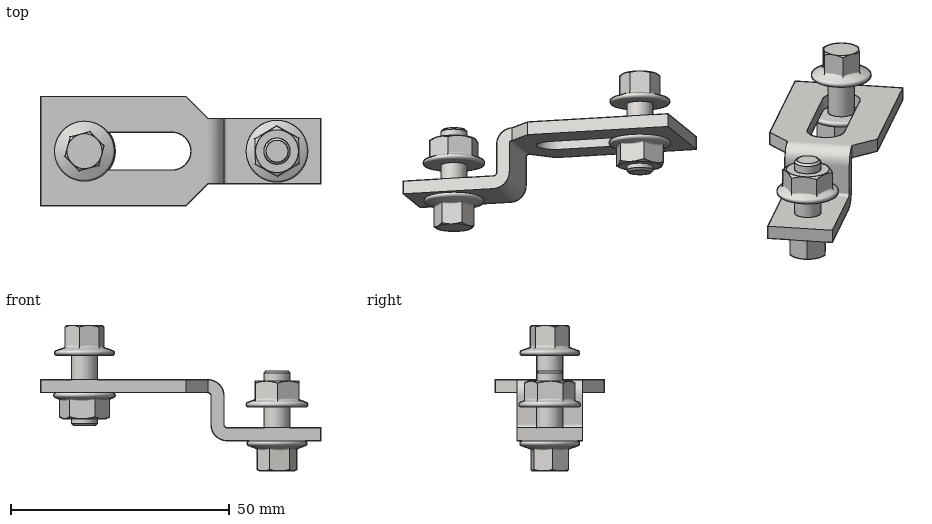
import cadquery as cq
import math

bracket_length = 64.0
pad_width = 25.0
tongue_width = 15.0
plate_thickness = 3.0
bracket_height = 14.0
shoulder_chamfer = (pad_width - tongue_width) / 2
bend_start = 38.2
inner_bend_radius = 0.7
outer_bend_radius = inner_bend_radius + plate_thickness
slot_width = 8.6
slot_end_x = 30.0

slot_bolt_x = 10.0
tongue_bolt_x = 54.0

shank_diameter = 6.0
shank_length = 16.0
shank_chamfer = 0.5
head_height = 6.88
head_across_flats = 8.0
head_flange_diameter = 13.7
head_crown_diameter = 8.0

nut_height = 6.0
nut_across_flats = 10.0
nut_flange_diameter = 14.1
nut_crown_diameter = 9.8

rim_radius = 0.58
neck_fillet = 0.3
flange_slope = math.radians(20)
crown_slope = math.radians(30)

wide_pad_underside = bracket_height - plate_thickness
overall_height = 33.27
slot_bolt_seat = overall_height - 2 * head_height
tongue_nut_seat = 7.7

slot_bolt_turn = 15.0
slot_nut_turn = -6.0
tongue_bolt_turn = 8.5
tongue_nut_turn = 31.0


def make_bracket():
    """Plate bent twice into a step, with a slot in the wide pad and a hole in the narrow one."""
    wall_left = bend_start + inner_bend_radius
    wall_right = wall_left + plate_thickness
    bend_end = wall_left + outer_bend_radius
    upper_bend_z = bracket_height - outer_bend_radius
    profile = (
        cq.Workplane("XZ")
        .moveTo(0, bracket_height)
        .lineTo(bend_start, bracket_height)
        .radiusArc((wall_right, upper_bend_z), outer_bend_radius)
        .lineTo(wall_right, outer_bend_radius)
        .radiusArc((bend_end, plate_thickness), -inner_bend_radius)
        .lineTo(bracket_length, plate_thickness)
        .lineTo(bracket_length, 0)
        .lineTo(bend_end, 0)
        .radiusArc((wall_left, outer_bend_radius), outer_bend_radius)
        .lineTo(wall_left, upper_bend_z)
        .radiusArc((bend_start, wide_pad_underside), -inner_bend_radius)
        .lineTo(0, wide_pad_underside)
        .close()
        .extrude(pad_width / 2, both=True)
    )
    outline = (
        cq.Workplane("XY")
        .moveTo(0, 0)
        .lineTo(0, pad_width / 2)
        .lineTo(bend_start - shoulder_chamfer, pad_width / 2)
        .lineTo(bend_start, tongue_width / 2)
        .lineTo(bracket_length, tongue_width / 2)
        .lineTo(bracket_length, 0)
        .mirrorX()
        .extrude(bracket_height)
    )
    slot = (
        cq.Workplane("XY", origin=((slot_bolt_x + slot_end_x) / 2, 0, wide_pad_underside))
        .slot2D(slot_end_x - slot_bolt_x + slot_width, slot_width)
        .extrude(plate_thickness)
    )
    hole = cq.Workplane("XY").center(tongue_bolt_x, 0).circle(shank_diameter / 2).extrude(plate_thickness)
    return profile.intersect(outline).cut(slot).cut(hole)


def flanged_hex(height, across_flats, flange_diameter, crown_diameter):
    """Hexagon with a chamfered crown on a round-rimmed conical flange, seated on Z = 0."""
    corner_radius = across_flats / math.sqrt(3)
    crown_radius = crown_diameter / 2
    crown_drop = (corner_radius - crown_radius) * math.tan(crown_slope)
    crown_envelope = (
        cq.Workplane("XZ")
        .lineTo(corner_radius, 0)
        .lineTo(corner_radius, height - crown_drop)
        .lineTo(crown_radius, height)
        .lineTo(0, height)
        .close()
        .revolve(360, (0, 0), (0, 1))
    )
    hexagon = cq.Workplane("XY").polygon(6, 2 * corner_radius).extrude(height).intersect(crown_envelope)

    rim_center = flange_diameter / 2 - rim_radius
    cone_foot_radius = rim_center + rim_radius * math.sin(flange_slope)
    cone_foot_z = rim_radius * (1 + math.cos(flange_slope))
    cone_tip_z = cone_foot_z + cone_foot_radius * math.tan(flange_slope)
    flange = (
        cq.Workplane("YZ")
        .lineTo(rim_center, 0)
        .radiusArc((rim_center + rim_radius, rim_radius), -rim_radius)
        .radiusArc((cone_foot_radius, cone_foot_z), -rim_radius)
        .lineTo(0, cone_tip_z)
        .close()
        .revolve(360, (0, 0), (0, 1))
    )
    neck_zone = cq.selectors.BoxSelector(
        (-flange_diameter, -flange_diameter, cone_foot_z),
        (flange_diameter, flange_diameter, height / 2),
    )
    return hexagon.union(flange).edges("%HYPERBOLA").edges(neck_zone).fillet(neck_fillet)


def make_bolt():
    """Bolt with its flange seated on Z = 0, head up and shank down."""
    head = flanged_hex(head_height, head_across_flats, head_flange_diameter, head_crown_diameter)
    shank = (
        cq.Workplane("XY")
        .circle(shank_diameter / 2)
        .extrude(-shank_length)
        .faces("<Z")
        .chamfer(shank_chamfer)
    )
    return head.union(shank)


def make_nut():
    """Nut with its flange seated on Z = 0, crown up, bored to fit the shank."""
    body = flanged_hex(nut_height, nut_across_flats, nut_flange_diameter, nut_crown_diameter)
    bore = cq.Workplane("XY").circle(shank_diameter / 2).extrude(nut_height)
    return body.cut(bore)


def place(part, x, seat_z, corner_angle, inverted):
    """Stand a fastener at x with its flange seat at seat_z, turned about its own axis."""
    if inverted:
        part = part.rotate((0, 0, 0), (1, 0, 0), 180)
    return part.rotate((0, 0, 0), (0, 0, 1), corner_angle).translate((x, 0, seat_z))


bracket = make_bracket()
bolts = [
    place(make_bolt(), x, seat_z, turn, inverted)
    for x, seat_z, turn, inverted in [
        (slot_bolt_x, slot_bolt_seat, slot_bolt_turn, False),
        (tongue_bolt_x, 0, tongue_bolt_turn, True),
    ]
]
nuts = [
    place(make_nut(), x, seat_z, turn, inverted)
    for x, seat_z, turn, inverted in [
        (slot_bolt_x, wide_pad_underside, slot_nut_turn, True),
        (tongue_bolt_x, tongue_nut_seat, tongue_nut_turn, False),
    ]
]

result = cq.Compound.makeCompound([body.val() for body in [bracket, *bolts, *nuts]])